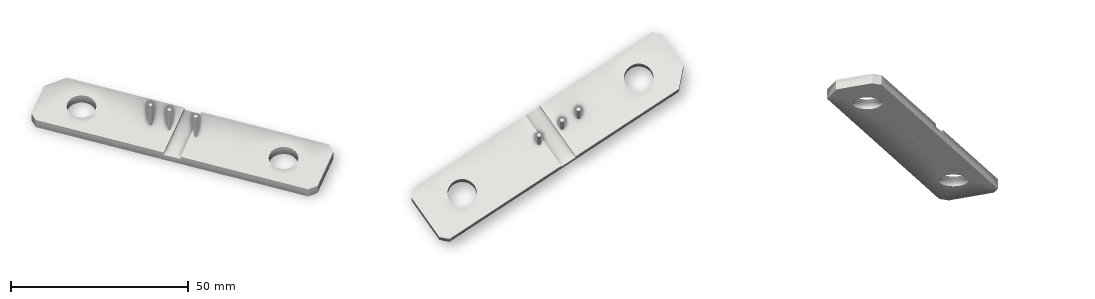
import cadquery as cq

LENGTH = 85.0
WIDTH = 18.0
HEIGHT = 11.05

PLATE_THICKNESS = 3.0
CORNER_CUT = 2.0
LARGE_CORNER_CUT = 5.0
BOLT_HOLE_DIAMETER = 8.3
BOLT_HOLE_OFFSET = 30.0

BRIDGE_LENGTH = 4.9
BRIDGE_THICKNESS = 2.0

PIN_DIAMETER = 1.0
SENSE_PIN_OFFSET = 3.9
OUTER_PIN_X = -9.5
PIN_POSITIONS = (OUTER_PIN_X, -SENSE_PIN_OFFSET, SENSE_PIN_OFFSET)

PLATE_LENGTH = (LENGTH - BRIDGE_LENGTH) / 2
PLATE_CENTER = (LENGTH - PLATE_LENGTH) / 2
PIN_LENGTH = HEIGHT - PLATE_THICKNESS


def make_plate(side, back_corner_cut):
    """Terminal plate on the -X side (side = -1) or the +X side (side = 1)."""
    outer = "<X" if side < 0 else ">X"
    plate = (
        cq.Workplane("XY")
        .center(side * PLATE_CENTER, 0)
        .box(PLATE_LENGTH, WIDTH, PLATE_THICKNESS, centered=(True, True, False))
    )
    plate = plate.faces(outer).edges("<Y").chamfer(CORNER_CUT)
    plate = plate.faces(outer).edges(">Y").chamfer(back_corner_cut)
    bolt_hole = (
        cq.Workplane("XY")
        .center(side * BOLT_HOLE_OFFSET, 0)
        .circle(BOLT_HOLE_DIAMETER / 2)
        .extrude(PLATE_THICKNESS)
    )
    return plate.cut(bolt_hole)


def make_bridge():
    """Resistive strip filling the gap between the plates, flush underneath."""
    return cq.Workplane("XY").box(
        BRIDGE_LENGTH, WIDTH, BRIDGE_THICKNESS, centered=(True, True, False)
    )


def make_pin(x):
    """Round pin standing on the top face of a plate."""
    return (
        cq.Workplane("XY", origin=(x, 0, PLATE_THICKNESS))
        .circle(PIN_DIAMETER / 2)
        .extrude(PIN_LENGTH)
    )


left_plate = make_plate(-1, LARGE_CORNER_CUT)
right_plate = make_plate(1, CORNER_CUT)
bridge = make_bridge()
pins = [make_pin(x) for x in PIN_POSITIONS]

result = cq.Compound.makeCompound(
    [left_plate.val(), right_plate.val(), bridge.val(), *[pin.val() for pin in pins]]
)